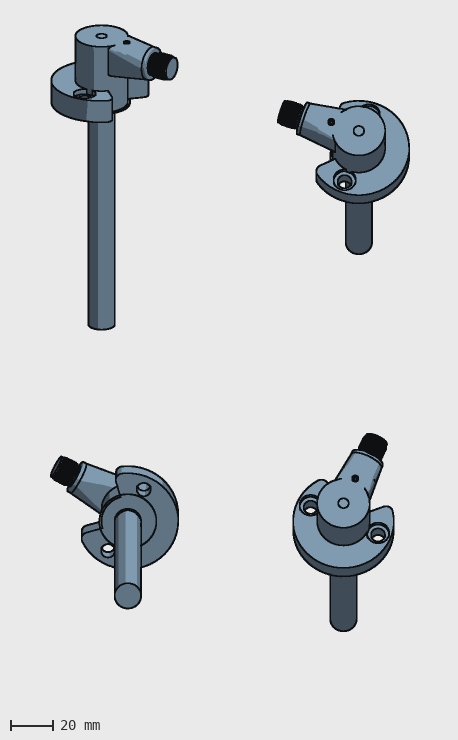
import cadquery as cq
import math

TOTAL_HEIGHT = 150.9
KNOB_HEIGHT = 0.6
BODY_TOP = TOTAL_HEIGHT - KNOB_HEIGHT
BODY_HEIGHT = 23.1
FLANGE_TOP = BODY_TOP - BODY_HEIGHT
FLANGE_THICKNESS = 11.2
FLANGE_BOTTOM = FLANGE_TOP - FLANGE_THICKNESS
PAD_THICKNESS = 0.5
PAD_BOTTOM = FLANGE_BOTTOM - PAD_THICKNESS

ROD_RADIUS = 6.3
GROOVE_RADIUS = 5.9
ROD_COLLAR_HEIGHT = 0.9
ROD_COLLAR_CHAMFER = 0.3
GROOVE_WIDTH = 0.6
GROOVE_BOTTOM = PAD_BOTTOM - ROD_COLLAR_HEIGHT - GROOVE_WIDTH

BODY_RADIUS = 12.5
FLANGE_RADIUS = 24.0
PAD_RADIUS = 13.6
KNOB_RADIUS = 2.49

NOTCH_HALF_ANGLE = 45.0
NOTCH_TIP_RADIUS = 3.3
HOLE_X = 1.0
HOLE_Y = 17.5
HOLE_RADIUS = 3.3
COUNTERBORE_RADIUS = 5.3
COUNTERBORE_DEPTH = 2.5

ARM_RADIUS = 8.0
ARM_Z = BODY_TOP - ARM_RADIUS
ARM_START_X = 7.5
ARM_END_X = 26.9
ARM_START_HALF_WIDTH = 8.9
ARM_START_CORNER = 1.5
END_FLAT = 0.03
ARM_COLLAR_END_X = 28.7
ARM_COLLAR_FILLET = 0.5

CONNECTOR_END_X = 39.0
CONNECTOR_ROOT_RADIUS = 5.5
NECK_RADIUS = 5.3
NECK_START_X = 29.1
THREAD_RADIUS = 6.0
THREAD_END_RADIUS = 5.7
THREAD_START_X = 30.0
THREAD_PITCH = 1.0
THREAD_COUNT = 8
THREAD_CREST_WIDTH = 0.2

LAMP_X = 13.9
LAMP_RADIUS = 1.5
LAMP_DEPTH = 0.5
LAMP_HOLE_RADIUS = 0.8
LAMP_HOLE_DEPTH = 1.2


def disc(radius, bottom, height):
    return cq.Workplane("XY").workplane(offset=bottom).circle(radius).extrude(height)


def make_rod():
    """Rod, relief groove and chamfered collar, revolved about the Z axis."""
    collar_bottom = PAD_BOTTOM - ROD_COLLAR_HEIGHT
    profile = [
        (0, 0),
        (ROD_RADIUS, 0),
        (ROD_RADIUS, GROOVE_BOTTOM),
        (GROOVE_RADIUS, GROOVE_BOTTOM),
        (GROOVE_RADIUS, collar_bottom),
        (ROD_RADIUS, collar_bottom + ROD_COLLAR_CHAMFER),
        (ROD_RADIUS, PAD_BOTTOM),
        (0, PAD_BOTTOM),
    ]
    return cq.Workplane("XZ").polyline(profile).close().revolve(360, (0, 0, 0), (0, 1, 0))


def make_flange():
    flange = disc(FLANGE_RADIUS, FLANGE_BOTTOM, FLANGE_THICKNESS)
    reach = 2 * FLANGE_RADIUS
    spread = reach * math.tan(math.radians(NOTCH_HALF_ANGLE))
    notch = (
        cq.Workplane("XY").workplane(offset=FLANGE_BOTTOM)
        .polyline([(0, 0), (reach, -spread), (reach, spread)]).close()
        .extrude(FLANGE_THICKNESS)
    )
    tips = cq.selectors.BoxSelector(
        (BODY_RADIUS, -FLANGE_RADIUS, FLANGE_BOTTOM),
        (FLANGE_RADIUS, FLANGE_RADIUS, FLANGE_TOP),
    )
    flange = flange.cut(notch).edges("|Z").edges(tips).fillet(NOTCH_TIP_RADIUS)
    for side in (-1, 1):
        hole = disc(HOLE_RADIUS, FLANGE_BOTTOM, FLANGE_THICKNESS)
        counterbore = disc(COUNTERBORE_RADIUS, FLANGE_TOP - COUNTERBORE_DEPTH, COUNTERBORE_DEPTH)
        flange = flange.cut(hole.union(counterbore).translate((HOLE_X, side * HOLE_Y, 0)))
    return flange


def make_knob():
    """Shallow spherical dome standing on the body top."""
    sphere_radius = (KNOB_RADIUS**2 + KNOB_HEIGHT**2) / (2 * KNOB_HEIGHT)
    sphere = cq.Workplane("XY").sphere(sphere_radius).translate((0, 0, TOTAL_HEIGHT - sphere_radius))
    return sphere.intersect(disc(BODY_RADIUS, BODY_TOP, KNOB_HEIGHT))


def rounded_section(half_width, half_height, corner):
    return cq.Sketch().rect(2 * half_width, 2 * half_height).vertices().fillet(corner)


def make_arm():
    arm = (
        cq.Workplane("YZ", origin=(ARM_START_X, 0, ARM_Z))
        .placeSketch(
            rounded_section(ARM_START_HALF_WIDTH, ARM_RADIUS, ARM_START_CORNER),
            rounded_section(ARM_RADIUS, ARM_RADIUS, ARM_RADIUS - END_FLAT / 2).moved(
                cq.Location(cq.Vector(0, 0, ARM_END_X - ARM_START_X))
            ),
        )
        .loft(ruled=True)
    )
    collar = (
        cq.Workplane("YZ", origin=(ARM_END_X, 0, ARM_Z))
        .circle(ARM_RADIUS).extrude(ARM_COLLAR_END_X - ARM_END_X)
        .faces(">X").edges().fillet(ARM_COLLAR_FILLET)
    )
    return arm.union(collar)


def make_connector():
    """Round plug with ring-shaped thread ridges, revolved about the arm axis."""
    profile = [
        (ARM_END_X, 0),
        (ARM_END_X, CONNECTOR_ROOT_RADIUS),
        (NECK_START_X, CONNECTOR_ROOT_RADIUS),
        (NECK_START_X, NECK_RADIUS),
        (THREAD_START_X, NECK_RADIUS),
    ]
    for ridge in range(THREAD_COUNT):
        is_end = ridge in (0, THREAD_COUNT - 1)
        crest_radius = THREAD_END_RADIUS if is_end else THREAD_RADIUS
        ridge_start = THREAD_START_X + ridge * THREAD_PITCH
        crest_middle = ridge_start + THREAD_PITCH / 2
        profile += [
            (ridge_start, CONNECTOR_ROOT_RADIUS),
            (crest_middle - THREAD_CREST_WIDTH / 2, crest_radius),
            (crest_middle + THREAD_CREST_WIDTH / 2, crest_radius),
        ]
    profile += [
        (THREAD_START_X + THREAD_COUNT * THREAD_PITCH, CONNECTOR_ROOT_RADIUS),
        (CONNECTOR_END_X, CONNECTOR_ROOT_RADIUS),
        (CONNECTOR_END_X, 0),
    ]
    plug = cq.Workplane("XZ", origin=(0, 0, ARM_Z)).polyline(profile).close()
    return plug.revolve(360, (0, 0, 0), (1, 0, 0))


def make_lamp_recess():
    recess = disc(LAMP_RADIUS, BODY_TOP - LAMP_DEPTH, LAMP_DEPTH)
    hole = disc(LAMP_HOLE_RADIUS, BODY_TOP - LAMP_HOLE_DEPTH, LAMP_HOLE_DEPTH)
    return recess.union(hole).translate((LAMP_X, 0, 0))


body = disc(BODY_RADIUS, FLANGE_BOTTOM, FLANGE_THICKNESS + BODY_HEIGHT)
pad = disc(PAD_RADIUS, PAD_BOTTOM, PAD_THICKNESS)

result = (
    body.union(make_flange())
    .union(pad)
    .union(make_rod())
    .union(make_arm())
    .union(make_connector())
    .cut(make_lamp_recess())
    .union(make_knob())
)